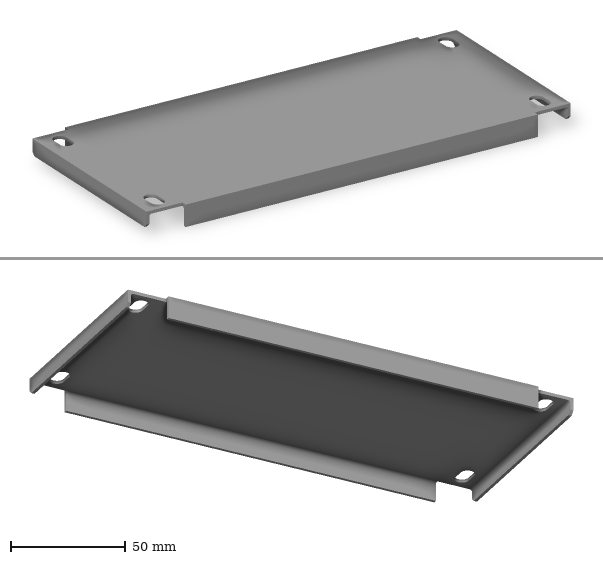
import cadquery as cq

length = 220.0
width = 99.0
side_height = 10.8
end_height = 8.0
thickness = 1.5
bend_radius = 1.0

notch_width = thickness + bend_radius
notch_length = 18.7
end_width = width - 2 * notch_width
side_length = length - 2 * notch_length

corner_chamfer = 1.8
slot_length = 11.9
slot_width = 6.5
slot_spacing_x = 74.8
slot_spacing_y = 200.0


def channel(plane, span, height, run):
    """Inverted U section with rounded inside folds, extruded symmetrically."""
    outer = span / 2
    inner = outer - thickness
    flat = inner - bend_radius
    fold_end = -thickness - bend_radius
    return (
        cq.Workplane(plane)
        .moveTo(-outer, 0)
        .lineTo(outer, 0)
        .lineTo(outer, -height)
        .lineTo(inner, -height)
        .lineTo(inner, fold_end)
        .radiusArc((flat, -thickness), -bend_radius)
        .lineTo(-flat, -thickness)
        .radiusArc((-inner, fold_end), -bend_radius)
        .lineTo(-inner, -height)
        .lineTo(-outer, -height)
        .close()
        .extrude(run / 2, both=True)
    )


side_channel = channel("XZ", width, side_height, side_length)
end_channel = channel("YZ", length, end_height, end_width)

end_profile = (
    cq.Workplane("XY")
    .box(end_width, length, end_height)
    .translate((0, 0, -end_height / 2))
    .edges("<Z and |Y")
    .chamfer(corner_chamfer)
)
end_channel = end_channel.intersect(end_profile)

slots = (
    cq.Workplane("XY")
    .rarray(slot_spacing_x, slot_spacing_y, 2, 2)
    .slot2D(slot_length, slot_width)
    .extrude(-thickness)
)

result = side_channel.union(end_channel).cut(slots)